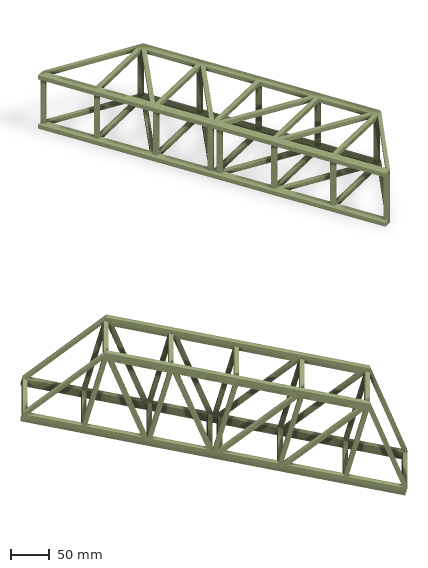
import cadquery as cq
import math

LENGTH = 510.0
DEPTH = 135.0
HEIGHT = 80.0
BAR = 6.0
PANEL = 86.5
MIDDLE_POST_OFFSET = 6.5

CHORD_WIDTH = 2 * BAR
HALF_LENGTH = LENGTH / 2
Y_OUTER = DEPTH / 2
Y_INNER = Y_OUTER - CHORD_WIDTH
CLEAR_DEPTH = 2 * Y_INNER
CROSS_BAR_X = [panel * PANEL for panel in range(-2, 3)]
END_NODE = 2 * PANEL
POST_Y = Y_INNER + BAR / 2


def diagonal_run(clear_width):
    """X run of a brace edge whose opposite corners fill a panel of this clear width."""
    corner_distance = math.hypot(clear_width, CLEAR_DEPTH)
    lean = math.atan2(clear_width, CLEAR_DEPTH) - math.asin(BAR / corner_distance)
    return CLEAR_DEPTH * math.tan(lean)


def plate(points):
    """Flat member of truss thickness, standing on Z = 0."""
    return cq.Workplane("XY").polyline(points).close().extrude(BAR)


def block(x, y, x_size, y_size, z_size):
    """Box centred at (x, y), standing on Z = 0."""
    return cq.Workplane("XY").center(x, y).rect(x_size, y_size).extrude(z_size)


def inner_brace(side, node):
    """Brace from the top chord at one node down to the next node toward mid-length."""
    top_x = node - BAR / 2
    bottom_x = node - PANEL + BAR / 2
    run = diagonal_run(top_x - bottom_x)
    return plate([
        (side * top_x, Y_INNER),
        (side * (top_x - run), -Y_INNER),
        (side * bottom_x, -Y_INNER),
        (side * (bottom_x + run), Y_INNER),
    ])


end_brace_top_x = END_NODE + BAR / 2
end_run = HALF_LENGTH - BAR - end_brace_top_x
end_slope = end_run / CLEAR_DEPTH
top_chord_half = HALF_LENGTH - end_slope * (CLEAR_DEPTH + CHORD_WIDTH)
top_chord_inner_half = HALF_LENGTH - end_run


def end_brace(side):
    """Sloping brace from the end of the bottom chord to the end of the top chord."""
    return plate([
        (side * HALF_LENGTH, -Y_INNER),
        (side * top_chord_inner_half, Y_INNER),
        (side * end_brace_top_x, Y_INNER),
        (side * (HALF_LENGTH - BAR), -Y_INNER),
    ])


def truss():
    """One flat truss: two chords, cross bars and braces."""
    chord_y = Y_OUTER - CHORD_WIDTH / 2
    frame = block(0, -chord_y, LENGTH, CHORD_WIDTH, BAR)
    frame = frame.union(plate([
        (-top_chord_half, Y_OUTER),
        (top_chord_half, Y_OUTER),
        (top_chord_inner_half, Y_INNER),
        (-top_chord_inner_half, Y_INNER),
    ]))
    for x in CROSS_BAR_X:
        frame = frame.union(block(x, 0, BAR, CLEAR_DEPTH + 2 * BAR, BAR))
    for side in (-1, 1):
        frame = frame.union(end_brace(side))
        for node in (PANEL, END_NODE):
            frame = frame.union(inner_brace(side, node))
    return frame


def posts():
    """Square posts joining the two trusses along both chords."""
    end_post_x = HALF_LENGTH - BAR / 2
    bottom_half = [MIDDLE_POST_OFFSET, PANEL, END_NODE, end_post_x]
    places = [(x, POST_Y) for x in CROSS_BAR_X]
    places += [(side * x, -POST_Y) for side in (-1, 1) for x in bottom_half]
    return cq.Workplane("XY").pushPoints(places).rect(BAR, BAR).extrude(HEIGHT)


lower_truss = truss()
upper_truss = lower_truss.translate((0, 0, HEIGHT - BAR))
result = lower_truss.union(upper_truss).union(posts()).clean()